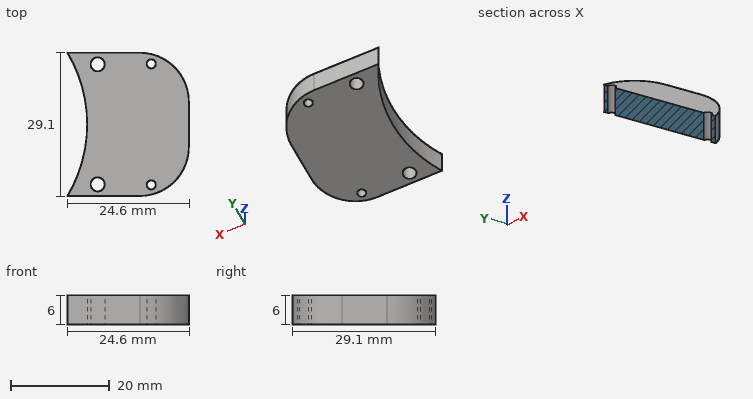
import cadquery as cq

length = 24.64
width = 29.06
thickness = 6.0

concave_depth = 4.0
corner_radius = 10.0

large_hole_diameter = 2.8
large_hole_from_left = 6.15
large_hole_spacing = 24.3
small_hole_diameter = 1.8
small_hole_from_left = 17.0
small_hole_spacing = 24.5


def make_plate():
    """Plate with its concave end's tips on X = 0, centred on the X axis."""
    half_width = width / 2
    plate = (
        cq.Workplane("XY")
        .moveTo(0, -half_width)
        .lineTo(length, -half_width)
        .lineTo(length, half_width)
        .lineTo(0, half_width)
        .threePointArc((concave_depth, 0), (0, -half_width))
        .close()
        .extrude(thickness)
    )
    return plate.edges("|Z and >X").fillet(corner_radius)


def drill_pair(body, diameter, from_left, spacing):
    """Cut two through holes at equal distances either side of the X axis."""
    centres = [(from_left, side * spacing / 2) for side in (-1, 1)]
    holes = cq.Workplane("XY").pushPoints(centres).circle(diameter / 2).extrude(thickness)
    return body.cut(holes)


result = make_plate()
result = drill_pair(result, large_hole_diameter, large_hole_from_left, large_hole_spacing)
result = drill_pair(result, small_hole_diameter, small_hole_from_left, small_hole_spacing)